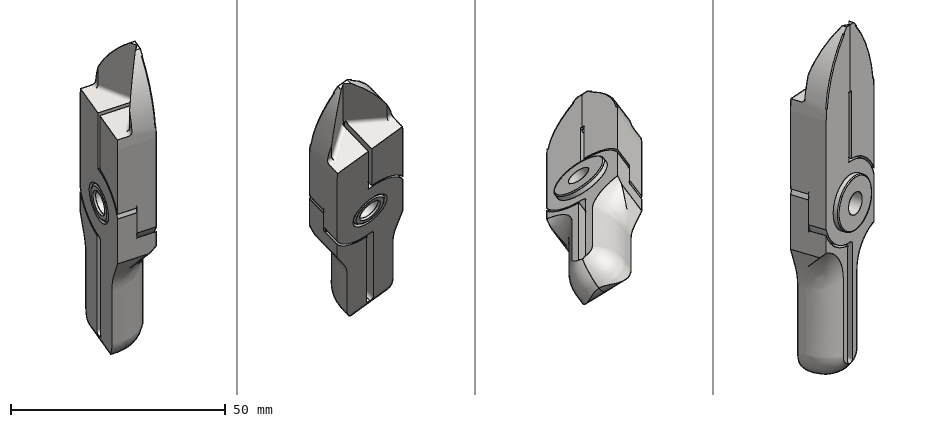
import cadquery as cq
import math


LENGTH = 92.0
WIDTH = 20.0
THICKNESS = 10.0
FRONT = -THICKNESS / 2
BACK = THICKNESS / 2
TIP_Z = LENGTH / 2
HALF_WIDTH = WIDTH / 2
OVERSIZE = LENGTH

JAW_ARC_START_Z = 25.0
JAW_ARC_RADIUS = 30.0

FLARE_START_Z = -10.95
FLARE_ANGLE = 20.5
FLARE_RADIUS = 15.0
GRIP_HALF_WIDTH = 7.0
END_TRIM = 0.02
GRIP_BOTTOM_Z = -TIP_Z - END_TRIM
GRIP_END_Z = GRIP_BOTTOM_Z + GRIP_HALF_WIDTH

SHOULDER_Z = 28.1
BLADE_EDGE_THICKNESS = 0.3
BLADE_ANGLE = 35.0
BLADE_THICKNESS = 6.2
SHOULDER_FILLET = 1.0
BLADE_BEVEL = 0.3
BLADE_BEVEL_TOP_Z = 44.6

GRIP_RIM_DEPTH = 2.5
GRIP_RIM_Y = FRONT + GRIP_RIM_DEPTH
GRIP_BACK_RECESS = 4.1
BLEND_RISE = 0.7
RUNOUT_RISE = 7.2
ROUNDING_LEVELS = 6
END_ROUND_RADIUS = 5.0
END_ROUND_Z = -41.4

JAW_GAP = 1.0
JAW_GAP_TOP_Z = 28.5
HANDLE_GAP = 2.0
HANDLE_GAP_BOTTOM_Z = -42.0
HUB_RADIUS = 10.5
HUB_CLEARANCE = 0.55
HUB_RECESS_RADIUS = HUB_RADIUS + HUB_CLEARANCE

RIVET_RADIUS = 4.7
RIVET_BORE_RADIUS = 2.85
RIVET_HEAD_RADIUS = 7.1
RIVET_HEAD_HEIGHT = 1.5
RIVET_CHAMFER = 0.5
BORE_CHAMFER_WIDTH = 0.3
BORE_CHAMFER_DEPTH = 0.55
HEAD_CHAMFER = 0.3

jaw_sweep = math.asin((TIP_Z - JAW_ARC_START_Z) / JAW_ARC_RADIUS)
tip_half_width = HALF_WIDTH - JAW_ARC_RADIUS * (1 - math.cos(jaw_sweep))
flare_angle = math.radians(FLARE_ANGLE)
flare_end_x = GRIP_HALF_WIDTH + FLARE_RADIUS * (1 - math.cos(flare_angle))
flare_end_z = FLARE_START_Z - (HALF_WIDTH - flare_end_x) / math.tan(flare_angle)
grip_top_z = flare_end_z - FLARE_RADIUS * math.sin(flare_angle)


def xz_sketch(y):
    """Workplane at the given Y whose local axes are X and Z; it extrudes toward +Y."""
    return cq.Workplane(cq.Plane(origin=(0, y, 0), xDir=(1, 0, 0), normal=(0, -1, 0)))


def prism(sketch, depth):
    """Extrude a closed XZ sketch toward +Y."""
    return sketch.extrude(-depth)


def box(x_min, x_max, y_min, y_max, z_min, z_max):
    size = (x_max - x_min, y_max - y_min, z_max - z_min)
    return cq.Workplane("XY").box(*size, centered=False).translate((x_min, y_min, z_min))


def disc(radius, y_min, y_max):
    return prism(xz_sketch(y_min).circle(radius), y_max - y_min)


def y_cone(start_radius, end_radius, start_y, height):
    """Truncated cone around the Y axis, from start_y toward +Y."""
    base = cq.Vector(0, start_y, 0)
    return cq.Workplane(cq.Solid.makeCone(start_radius, end_radius, height, base, cq.Vector(0, 1, 0)))


def tangent_arc_middle(start, end):
    """Middle of the arc that leaves start along +Z and bulges toward -X on its way to end."""
    dx = end[0] - start[0]
    dz = end[1] - start[1]
    radius = (dx**2 + dz**2) / (2 * dx)
    half_turn = math.atan2(dx, dz)
    return (start[0] + radius * (1 - math.cos(half_turn)), start[1] + radius * math.sin(half_turn))


def half_blank():
    """Right half of the two levers' common outline at full thickness."""
    jaw_middle_angle = jaw_sweep / 2
    jaw_middle = (
        HALF_WIDTH - JAW_ARC_RADIUS * (1 - math.cos(jaw_middle_angle)),
        JAW_ARC_START_Z + JAW_ARC_RADIUS * math.sin(jaw_middle_angle),
    )
    grip_top = (GRIP_HALF_WIDTH, grip_top_z)
    flare_end = (flare_end_x, flare_end_z)
    diagonal = GRIP_HALF_WIDTH / math.sqrt(2)
    outline = (
        xz_sketch(FRONT)
        .moveTo(0, TIP_Z)
        .lineTo(tip_half_width, TIP_Z)
        .threePointArc(jaw_middle, (HALF_WIDTH, JAW_ARC_START_Z))
        .lineTo(HALF_WIDTH, FLARE_START_Z)
        .lineTo(*flare_end)
        .threePointArc(tangent_arc_middle(grip_top, flare_end), grip_top)
        .lineTo(GRIP_HALF_WIDTH, GRIP_END_Z)
        .threePointArc((diagonal, GRIP_END_Z - diagonal), (0, GRIP_BOTTOM_Z))
        .close()
    )
    return prism(outline, THICKNESS)


def blade_relief():
    """Material removed in front of the V-shaped blades, with a rounded shoulder."""
    ramp = BLADE_THICKNESS - BLADE_EDGE_THICKNESS
    ramp_width = ramp / math.tan(math.radians(BLADE_ANGLE))
    edge_y = BACK - BLADE_EDGE_THICKNESS
    flat_y = BACK - BLADE_THICKNESS
    section = [
        (0, edge_y),
        (ramp_width, flat_y),
        (WIDTH, flat_y),
        (WIDTH, -WIDTH),
        (-WIDTH, -WIDTH),
        (-WIDTH, flat_y),
        (-ramp_width, flat_y),
    ]
    relief = cq.Workplane("XY").workplane(offset=SHOULDER_Z).polyline(section).close().extrude(LENGTH)
    shoulder_edges = cq.selectors.BoxSelector(
        (-WIDTH, flat_y - SHOULDER_FILLET, SHOULDER_Z - SHOULDER_FILLET),
        (WIDTH, BACK, SHOULDER_Z + SHOULDER_FILLET),
    )
    return relief.faces("<Z").edges(shoulder_edges).fillet(SHOULDER_FILLET)


def blade_bevel():
    """Material removed along the curved outer back edge of the right blade."""
    start_y = BACK - BLADE_BEVEL
    ring = disc(JAW_ARC_RADIUS + WIDTH, start_y, BACK)
    cone = y_cone(JAW_ARC_RADIUS, JAW_ARC_RADIUS - BLADE_BEVEL, start_y, BLADE_BEVEL)
    rim = ring.cut(cone).translate((HALF_WIDTH - JAW_ARC_RADIUS, 0, JAW_ARC_START_Z))
    return rim.intersect(box(0, WIDTH, FRONT, BACK, SHOULDER_Z, BLADE_BEVEL_TOP_Z))


def back_rounding():
    """Material removed around the back of the right handle, growing deeper toward the back face."""
    depth = BACK - GRIP_RIM_Y
    section_radius = (depth**2 + GRIP_BACK_RECESS**2) / (2 * GRIP_BACK_RECESS)
    wires = []
    for level in range(ROUNDING_LEVELS):
        rise = depth * level / (ROUNDING_LEVELS - 1)
        recess = section_radius - math.sqrt(section_radius**2 - rise**2)
        half_width = GRIP_HALF_WIDTH - recess
        blend_start = (half_width, grip_top_z + BLEND_RISE * recess)
        runout = RUNOUT_RISE * rise / depth
        blend_end_z = flare_end_z + runout
        flare_x = flare_end_x + runout * math.tan(flare_angle)
        blend_end = (min(flare_x, HALF_WIDTH), blend_end_z)
        diagonal = half_width / math.sqrt(2)
        wire = (
            xz_sketch(GRIP_RIM_Y + rise)
            .moveTo(0, GRIP_END_Z - half_width)
            .threePointArc((diagonal, GRIP_END_Z - diagonal), (half_width, GRIP_END_Z))
            .lineTo(*blend_start)
            .threePointArc(tangent_arc_middle(blend_start, blend_end), blend_end)
            .lineTo(WIDTH, blend_end_z)
            .lineTo(WIDTH, -LENGTH)
            .lineTo(0, -LENGTH)
            .close()
            .val()
        )
        wires.append(wire)
    return cq.Workplane(cq.Solid.makeLoft(wires))


def end_rounding():
    """Material removed below the rounded front edge of the handle ends."""
    centre_y = FRONT + END_ROUND_RADIUS
    below = box(-WIDTH, WIDTH, -WIDTH, centre_y, -LENGTH, END_ROUND_Z)
    roll = (
        cq.Workplane("YZ").center(centre_y, END_ROUND_Z).circle(END_ROUND_RADIUS).extrude(WIDTH, both=True)
    )
    return below.cut(roll)


def gaps():
    """Through slots between the jaws and between the handles."""
    jaw_gap = box(-JAW_GAP / 2, JAW_GAP / 2, -WIDTH, WIDTH, 0, JAW_GAP_TOP_Z)
    slot_length = -HANDLE_GAP_BOTTOM_Z - HUB_RADIUS
    slot_z = (HANDLE_GAP_BOTTOM_Z - HUB_RADIUS) / 2
    handle_slot = xz_sketch(-WIDTH).center(0, slot_z).slot2D(slot_length, HANDLE_GAP, 90)
    return jaw_gap, prism(handle_slot, 2 * WIDTH)


def tool_blank():
    """Both levers in one piece, before they are parted at the pivot."""
    right_half = half_blank().cut(back_rounding()).cut(blade_bevel())
    blank = right_half.union(right_half.mirror("YZ"))
    return blank.cut(blade_relief()).cut(end_rounding())


def lever(blank, jaw_side, hub_y, recess_y):
    """One lever: its jaw on jaw_side (-1 left, 1 right), its handle on the other side.

    hub_y and recess_y are the (low, high) Y ranges of its hub and of the other lever's hub.
    """
    reach = jaw_side * OVERSIZE
    jaw_zone = box(min(0, reach), max(0, reach), FRONT, BACK, 0, OVERSIZE)
    handle_zone = box(min(0, -reach), max(0, -reach), FRONT, BACK, -OVERSIZE, 0)
    zones = jaw_zone.union(handle_zone)
    for gap in gaps():
        zones = zones.cut(gap)
    zones = zones.cut(disc(HUB_RECESS_RADIUS, *recess_y))
    zones = zones.union(disc(HUB_RADIUS, *hub_y))
    return blank.intersect(zones).cut(disc(RIVET_RADIUS, FRONT, BACK))


def rivet():
    """Hollow rivet, flush with the front face and headed on the back face."""
    shank = disc(RIVET_RADIUS, FRONT, BACK).faces("<Y").chamfer(RIVET_CHAMFER)
    head = disc(RIVET_HEAD_RADIUS, BACK, BACK + RIVET_HEAD_HEIGHT).faces(">Y").chamfer(HEAD_CHAMFER)
    bore = disc(RIVET_BORE_RADIUS, FRONT, BACK + RIVET_HEAD_HEIGHT)
    bore_mouth = y_cone(RIVET_BORE_RADIUS + BORE_CHAMFER_WIDTH, RIVET_BORE_RADIUS, FRONT, BORE_CHAMFER_DEPTH)
    return shank.union(head).cut(bore).cut(bore_mouth)


blank = tool_blank()
front_half = (FRONT, 0)
back_half = (0, BACK)
countersink = y_cone(RIVET_RADIUS + RIVET_CHAMFER, RIVET_RADIUS, FRONT, RIVET_CHAMFER)
front_lever = lever(blank, -1, front_half, back_half).cut(countersink)
back_lever = lever(blank, 1, back_half, front_half)
pivot_rivet = rivet()

result = cq.Compound.makeCompound([front_lever.val(), back_lever.val(), pivot_rivet.val()])